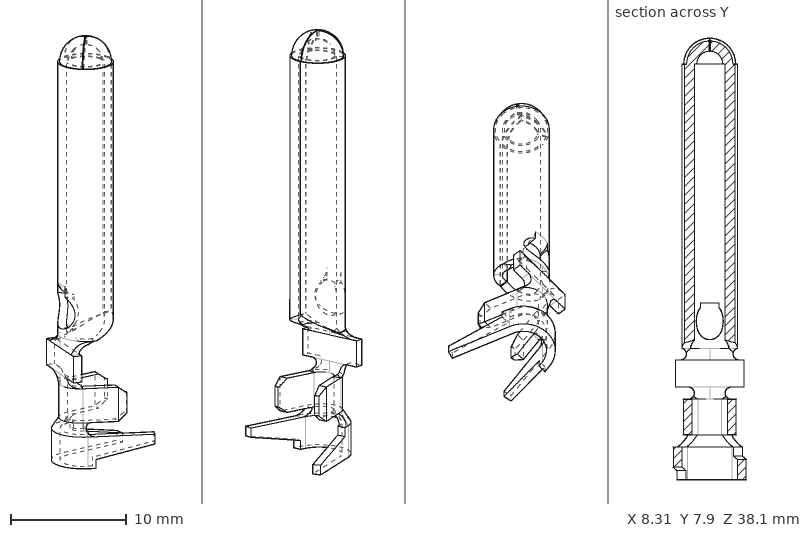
import cadquery as cq
import math


TOTAL_HEIGHT = 38.1
INSULATION_TOP = 2.85
WIRE_BOTTOM = 3.9
WIRE_TOP = 6.97
PLATE_BOTTOM = 8.0
PLATE_TOP = 10.35
PIN_BOTTOM = 11.35

SHEET = 0.75
PIN_RADIUS = 2.4
DOME_RADIUS = 2.25
DOME_BASE = TOTAL_HEIGHT - DOME_RADIUS
SLIT_WIDTH = 0.08
SLIT_START = 0.1
BACK_CUT_TOP = 13.1

WINDOW_RADIUS = 1.55
WINDOW_HEIGHT = 13.68
NOTCH_WIDTH = 1.55
NOTCH_ROUND = 0.85

PLATE_WIDTH = 5.95
PLATE_FRONT = -PIN_RADIUS
PLATE_BACK = PLATE_FRONT + SHEET
NECK_WIDTH = 5.5
PIN_NECK_WAIST = 4.05
WIRE_NECK_WAIST = 2.65

LEAN = math.radians(14.8)
WIRE_RADIUS = 1.83
WIRE_CENTER_Y = -0.55
WIRE_ARM = 3.9
WIRE_TIP_BEVEL = 0.8
WIRE_TIP_BEVEL_DEPTH = 0.35
WIRE_TIP_CORNER = 0.65
INSULATION_RADIUS = 2.75
INSULATION_CENTER_Y = -0.23
INSULATION_ARM = 5.85
WING_ROOT_Y = -0.23
WING_ROOT_HEIGHT = 2.05
WING_TIP_HEIGHT = 0.85
FUNNEL_ARM = 0.65
FUNNEL_SLOT_Y = -0.35

CLEAR = 11.43
MARGIN = 0.4
TOOL_START = 0.2


def arm_point(radius, center_y, along, inward):
    """Point on the +X arm: distance along it from the tangent, depth in from its outer face."""
    reach = radius - inward
    x = reach * math.cos(LEAN) + along * math.sin(LEAN)
    y = center_y - reach * math.sin(LEAN) + along * math.cos(LEAN)
    return x, y


def mirrored(point):
    return -point[0], point[1]


def barrel_outline(plane, radius, center_y, arm):
    """Closed U outline of bent sheet."""
    outer_root = arm_point(radius, center_y, 0, 0)
    outer_tip = arm_point(radius, center_y, arm, 0)
    inner_root = arm_point(radius, center_y, 0, SHEET)
    inner_tip = arm_point(radius, center_y, arm, SHEET)
    return (
        plane.moveTo(*mirrored(outer_tip))
        .lineTo(*mirrored(outer_root))
        .threePointArc((0, center_y - radius), outer_root)
        .lineTo(*outer_tip)
        .lineTo(*inner_tip)
        .lineTo(*inner_root)
        .threePointArc((0, center_y - radius + SHEET), mirrored(inner_root))
        .lineTo(*mirrored(inner_tip))
        .close()
    )


def half_arc_outline(plane, radius, center_y, lean):
    """Closed outline of the +X half of a sheet arc that stops at the lean angle below horizontal."""
    inner = radius - SHEET
    mid = (lean + math.pi / 2) / 2

    def at(reach, angle):
        return reach * math.cos(angle), center_y - reach * math.sin(angle)

    return (
        plane.moveTo(0, center_y - radius)
        .threePointArc(at(radius, mid), at(radius, lean))
        .lineTo(*at(inner, lean))
        .threePointArc(at(inner, mid), (0, center_y - inner))
        .close()
    )


def level(height):
    return cq.Workplane("XY").workplane(offset=height)


def make_pin():
    tube = level(PIN_BOTTOM).circle(PIN_RADIUS).extrude(DOME_BASE - PIN_BOTTOM)
    bore = level(PIN_BOTTOM).circle(PIN_RADIUS - SHEET).extrude(DOME_BASE - PIN_BOTTOM)
    dome = cq.Workplane("XY").sphere(DOME_RADIUS).translate((0, 0, DOME_BASE))
    dome_hollow = cq.Workplane("XY").sphere(DOME_RADIUS - SHEET).translate((0, 0, DOME_BASE))
    pin = tube.union(dome).cut(bore).cut(dome_hollow)

    slit_length = PIN_RADIUS - SLIT_START + MARGIN
    slit_center = SLIT_START + slit_length / 2
    seam = (
        level(PIN_BOTTOM)
        .center(0, slit_center)
        .rect(SLIT_WIDTH, slit_length)
        .extrude(TOTAL_HEIGHT - PIN_BOTTOM)
    )
    pin = pin.cut(seam)
    for turn in (120, 240):
        slit = (
            level(DOME_BASE)
            .center(0, slit_center)
            .rect(SLIT_WIDTH, slit_length)
            .extrude(DOME_RADIUS)
            .rotate((0, 0, 0), (0, 0, 1), turn)
        )
        pin = pin.cut(slit)
    return pin


def make_back_wedges():
    """Sloping end of the rolled sheet: its height falls evenly with the angle away from the seam."""
    sectors = 4
    sector_angle = math.pi / sectors
    steps = 6
    near, far = TOOL_START, PIN_RADIUS + MARGIN
    base = PIN_BOTTOM - MARGIN
    wedges = []

    def section(plane, depth, bisector):
        points = []
        for i in range(steps + 1):
            offset = sector_angle * (i / steps - 0.5)
            away = abs(bisector + offset) / (math.pi / 2)
            points.append((depth * math.tan(offset), BACK_CUT_TOP - (BACK_CUT_TOP - PIN_BOTTOM) * away))
        half_width = points[-1][0]
        return (
            plane.moveTo(-half_width, base)
            .lineTo(*points[0])
            .spline(points[1:], includeCurrent=True)
            .lineTo(half_width, base)
            .close()
        )

    for i in range(sectors):
        bisector = sector_angle * (i + 0.5) - math.pi / 2
        inner = section(cq.Workplane("XZ", origin=(0, near, 0)), near, bisector)
        outer = section(cq.Workplane("XZ", origin=(0, far, 0)), far, bisector)
        wedge = cq.Workplane(cq.Solid.makeLoft([inner.val(), outer.val()], True))
        wedges.append(wedge.rotate((0, 0, 0), (0, 0, 1), -math.degrees(bisector)))
    return wedges


def make_window():
    """Round hole of the flat sheet after rolling: its walls point at the pin axis."""
    mid_radius = PIN_RADIUS - SHEET / 2
    steps = 24
    turns = [2 * math.pi * i / steps for i in range(steps)]
    near, far = TOOL_START, PIN_RADIUS + MARGIN

    def section(depth):
        return [
            (depth * math.tan(WINDOW_RADIUS * math.cos(u) / mid_radius), WINDOW_RADIUS * math.sin(u))
            for u in turns
        ]

    params = [i / steps for i in range(steps + 1)]
    return (
        cq.Workplane("XZ", origin=(0, -near, WINDOW_HEIGHT))
        .spline(section(near), periodic=True, parameters=params)
        .close()
        .workplane(offset=far - near)
        .spline(section(far), periodic=True, parameters=params)
        .close()
        .loft(ruled=True)
    )


def make_notch():
    """Lip above the window, rolled inward around the pin wall."""
    lip = WINDOW_HEIGHT + WINDOW_RADIUS
    sag = NOTCH_ROUND * math.sqrt(0.5)
    ring = (
        cq.Workplane("XZ")
        .moveTo(PIN_RADIUS, lip + NOTCH_ROUND)
        .threePointArc(
            (PIN_RADIUS - NOTCH_ROUND + sag, lip + NOTCH_ROUND - sag),
            (PIN_RADIUS - NOTCH_ROUND, lip),
        )
        .lineTo(PIN_RADIUS - NOTCH_ROUND, WINDOW_HEIGHT)
        .lineTo(PIN_RADIUS + NOTCH_ROUND, WINDOW_HEIGHT)
        .lineTo(PIN_RADIUS + NOTCH_ROUND, lip + NOTCH_ROUND)
        .close()
        .revolve(360, (0, 0, 0), (0, 1, 0))
    )
    slot = cq.Workplane("XY").box(NOTCH_WIDTH, CLEAR, CLEAR).translate((0, -CLEAR / 2, lip))
    return ring.intersect(slot)


def make_plate():
    return (
        level(PLATE_BOTTOM)
        .center(0, (PLATE_FRONT + PLATE_BACK) / 2)
        .rect(PLATE_WIDTH, SHEET)
        .extrude(PLATE_TOP - PLATE_BOTTOM)
    )


def make_neck(plate_level, arc_level, radius, center_y, lean, waist):
    """Sheet that passes from the flat plate to an arc, with a rounded relief on each side."""
    arc_wire = half_arc_outline(level(arc_level), radius, center_y, lean).val()
    edge = NECK_WIDTH / 2
    flat_wire = (
        level(plate_level)
        .polyline([(0, PLATE_FRONT), (edge, PLATE_FRONT), (edge, PLATE_BACK), (0, PLATE_BACK)])
        .close()
        .val()
    )
    half = cq.Workplane(cq.Solid.makeLoft([flat_wire, arc_wire], True))

    gap = abs(arc_level - plate_level)
    middle = (arc_level + plate_level) / 2
    relief_x = waist / 2 + gap / 2
    relief = cq.Workplane("XZ").center(relief_x, middle).circle(gap / 2).extrude(CLEAR, both=True)
    outside = cq.Workplane("XY").box(CLEAR, CLEAR, gap).translate((relief_x + CLEAR / 2, 0, middle))
    half = half.cut(relief).cut(outside)
    return half.union(half.mirror("YZ"))


def make_wire_barrel():
    height = WIRE_TOP - WIRE_BOTTOM
    barrel = barrel_outline(level(WIRE_BOTTOM), WIRE_RADIUS, WIRE_CENTER_Y, WIRE_ARM).extrude(height)

    bevel_start = arm_point(WIRE_RADIUS, WIRE_CENTER_Y, WIRE_ARM - WIRE_TIP_BEVEL, 0)
    bevel_end = arm_point(WIRE_RADIUS, WIRE_CENTER_Y, WIRE_ARM, WIRE_TIP_BEVEL_DEPTH)
    tip_corner = arm_point(WIRE_RADIUS, WIRE_CENTER_Y, WIRE_ARM, 0)
    bevel = level(WIRE_BOTTOM).polyline([bevel_start, bevel_end, tip_corner]).close().extrude(height)
    barrel = barrel.cut(bevel).cut(bevel.mirror("YZ"))

    start_y, tip_y = bevel_start[1], bevel_end[1]
    for edge, inward in ((WIRE_BOTTOM, 1), (WIRE_TOP, -1)):
        corner = (
            cq.Workplane("YZ")
            .moveTo(start_y, edge)
            .lineTo(tip_y, edge + inward * WIRE_TIP_CORNER)
            .lineTo(tip_y + SHEET, edge + inward * WIRE_TIP_CORNER)
            .lineTo(tip_y + SHEET, edge)
            .close()
            .extrude(CLEAR, both=True)
        )
        barrel = barrel.cut(corner)
    return barrel


def make_insulation_barrel():
    barrel = barrel_outline(
        level(0), INSULATION_RADIUS, INSULATION_CENTER_Y, INSULATION_ARM
    ).extrude(INSULATION_TOP)

    tip_y = arm_point(INSULATION_RADIUS, INSULATION_CENTER_Y, INSULATION_ARM, SHEET)[1]
    left_cut = (
        cq.Workplane("YZ")
        .moveTo(WING_ROOT_Y, INSULATION_TOP)
        .lineTo(WING_ROOT_Y, WING_ROOT_HEIGHT)
        .lineTo(tip_y, WING_TIP_HEIGHT)
        .lineTo(CLEAR, WING_TIP_HEIGHT)
        .lineTo(CLEAR, INSULATION_TOP)
        .close()
        .extrude(-CLEAR)
    )
    middle = (0, 0, INSULATION_TOP / 2)
    right_cut = left_cut.rotate(middle, (0, 1, INSULATION_TOP / 2), 180)
    return barrel.cut(left_cut).cut(right_cut)


def make_funnel():
    """Sheet between the two barrels, with a rounded slot between their arms."""
    lower = barrel_outline(level(INSULATION_TOP), INSULATION_RADIUS, INSULATION_CENTER_Y, FUNNEL_ARM)
    upper = barrel_outline(level(WIRE_BOTTOM), WIRE_RADIUS, WIRE_CENTER_Y, FUNNEL_ARM)
    funnel = cq.Workplane(cq.Solid.makeLoft([lower.val(), upper.val()], True))

    gap = WIRE_BOTTOM - INSULATION_TOP
    middle = (WIRE_BOTTOM + INSULATION_TOP) / 2
    slot = cq.Workplane("YZ").center(FUNNEL_SLOT_Y, middle).circle(gap / 2).extrude(CLEAR, both=True)
    above = cq.Workplane("XY").box(CLEAR, CLEAR, gap).translate((0, FUNNEL_SLOT_Y + CLEAR / 2, middle))
    return funnel.cut(slot).cut(above)


pin = make_pin()
for wedge in make_back_wedges():
    pin = pin.cut(wedge)
pin = pin.cut(make_window()).cut(make_notch())
pin_neck = make_neck(PLATE_TOP, PIN_BOTTOM, PIN_RADIUS, 0, 0, PIN_NECK_WAIST)
wire_neck = make_neck(PLATE_BOTTOM, WIRE_TOP, WIRE_RADIUS, WIRE_CENTER_Y, LEAN, WIRE_NECK_WAIST)

result = (
    pin.union(pin_neck)
    .union(make_plate())
    .union(wire_neck)
    .union(make_wire_barrel())
    .union(make_funnel())
    .union(make_insulation_barrel())
)